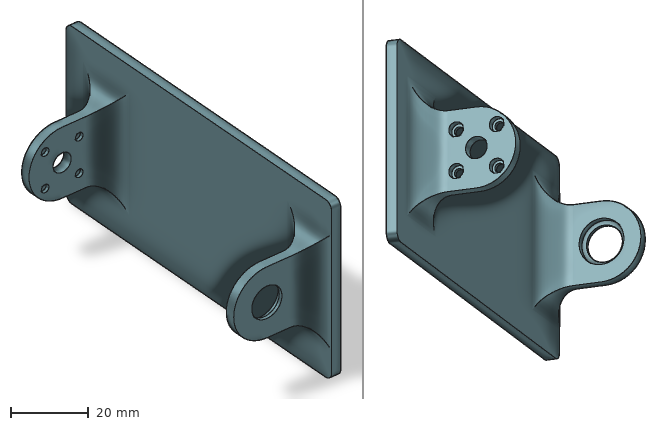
import cadquery as cq

plate_length = 108.9
plate_height = 55.0
plate_thickness = 3.0
plate_corner_radius = 2.5

overall_depth = 30.0
lug_thickness = 3.0
lug_radius = 11.0
root_radius = 8.0
left_lug_inset = 15.0
lug_spacing = 83.9

pivot_diameter = 6.0
screw_diameter = 2.5
screw_counterbore_diameter = 4.0
screw_counterbore_depth = 2.0
screw_spacing = 11.3

bearing_diameter = 12.5
bearing_depth = 2.0
bearing_through_diameter = 10.0

lug_reach = overall_depth - plate_thickness
pivot_y = lug_radius - lug_reach
left_lug_x = -plate_length / 2 + left_lug_inset
right_lug_x = left_lug_x + lug_spacing


def make_plate():
    plate = cq.Workplane("XY").box(
        plate_length, plate_thickness, plate_height, centered=(True, False, True)
    )
    return plate.edges("|Y").fillet(plate_corner_radius)


def make_lug(outer_face_x):
    """Rounded lug with concave root flares that meet in mitres at the corners."""
    inner_face_x = outer_face_x + lug_thickness
    plan = (
        cq.Workplane("XY")
        .moveTo(outer_face_x - root_radius, 0)
        .radiusArc((outer_face_x, -root_radius), root_radius)
        .lineTo(outer_face_x, -lug_reach)
        .lineTo(inner_face_x, -lug_reach)
        .lineTo(inner_face_x, -root_radius)
        .radiusArc((inner_face_x + root_radius, 0), root_radius)
        .close()
        .extrude(plate_height / 2, both=True)
    )
    side = (
        cq.Workplane("YZ")
        .moveTo(0, lug_radius + root_radius)
        .radiusArc((-root_radius, lug_radius), root_radius)
        .lineTo(pivot_y, lug_radius)
        .threePointArc((-lug_reach, 0), (pivot_y, -lug_radius))
        .lineTo(-root_radius, -lug_radius)
        .radiusArc((0, -lug_radius - root_radius), root_radius)
        .close()
        .extrude(plate_length, both=True)
    )
    return plan.intersect(side)


def lug_face(outer_face_x):
    """Workplane on the -X face of a lug, centred on the pivot axis."""
    return cq.Workplane("YZ", origin=(outer_face_x, pivot_y, 0))


def make_left_holes():
    face = lug_face(left_lug_x)
    pivot = face.circle(pivot_diameter / 2).extrude(lug_thickness)
    screws = face.rect(screw_spacing, screw_spacing, forConstruction=True).vertices()
    clearance = screws.circle(screw_diameter / 2).extrude(lug_thickness)
    counterbores = screws.circle(screw_counterbore_diameter / 2).extrude(screw_counterbore_depth)
    return pivot.union(clearance).union(counterbores)


def make_right_bore():
    face = lug_face(right_lug_x)
    through = face.circle(bearing_through_diameter / 2).extrude(lug_thickness)
    seat = face.circle(bearing_diameter / 2).extrude(bearing_depth)
    return through.union(seat)


trim_envelope = cq.Workplane("XY").box(plate_length, 2 * overall_depth, plate_height)
lugs = make_lug(left_lug_x).union(make_lug(right_lug_x)).intersect(trim_envelope)

result = make_plate().union(lugs).cut(make_left_holes()).cut(make_right_bore())